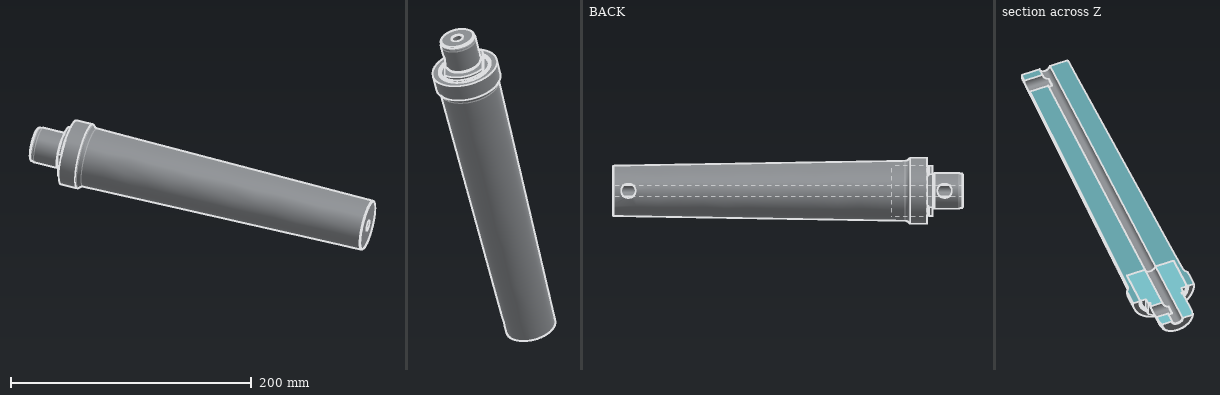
import cadquery as cq
import math

total_length = 291.0
stub_length = 25.5
stub_relief_width = 1.6
neck_length = 4.5
neck_relief_width = 1.7
flange_start = stub_length + neck_length
flange_width = 15.0
flange_chamfer = 0.8
taper_start = 48.5
plug_depth = 30.0

stub_radius = 15.0
stub_relief_radius = 14.2
neck_radius = 21.0
neck_relief_radius = 20.2
spigot_radius = 21.3
flange_radius = 27.5
taper_large_radius = 25.0
taper_small_radius = 21.0
bore_radius = 4.5

stub_tip_chamfer = 1.0
stub_lead_start = 2.0
stub_lead_end = 3.9
stub_lead_radius = 14.4
bore_chamfer = 0.5
mouth_chamfer = 0.9
end_chamfer = 0.7
flats_width = 32.0

cross_hole_radius = 6.0
stub_hole_x = 15.5
sleeve_hole_end_distance = 13.0
sleeve_hole_x = total_length - sleeve_hole_end_distance

plug_end = flange_start + plug_depth
flange_end = flange_start + flange_width


def revolve_about_x(points):
    """Turn a profile of (x, radius) points about the X axis."""
    return cq.Workplane("XZ").polyline(points).close().revolve(360, (0, 0, 0), (1, 0, 0))


def cross_hole(x):
    """Cutter for a radial hole running from the axis out through the +Y side."""
    return cq.Workplane("XZ").center(x, 0).circle(cross_hole_radius).extrude(-flange_radius)


def make_plug():
    """Stub, wrench neck and the spigot that sits in the sleeve."""
    relief_start = stub_length - stub_relief_width
    neck_relief_start = flange_start - neck_relief_width
    plug = revolve_about_x([
        (bore_chamfer, bore_radius),
        (0, bore_radius + bore_chamfer),
        (0, stub_lead_radius - stub_tip_chamfer),
        (stub_tip_chamfer, stub_lead_radius),
        (stub_lead_start, stub_lead_radius),
        (stub_lead_end, stub_radius),
        (relief_start, stub_radius),
        (relief_start + stub_radius - stub_relief_radius, stub_relief_radius),
        (stub_length, stub_relief_radius),
        (stub_length, neck_radius),
        (neck_relief_start, neck_radius),
        (neck_relief_start + neck_radius - neck_relief_radius, neck_relief_radius),
        (flange_start + mouth_chamfer, neck_relief_radius),
        (flange_start + mouth_chamfer, spigot_radius),
        (plug_end, spigot_radius),
        (plug_end, bore_radius),
    ])
    for side in (1, -1):
        flat_cutter = cq.Workplane("XY").box(
            neck_length, flange_radius, 2 * flange_radius, centered=(False, True, True)
        ).translate((stub_length, side * (flats_width + flange_radius) / 2, 0))
        plug = plug.cut(flat_cutter)
    return plug.cut(cross_hole(stub_hole_x))


def make_sleeve():
    """Flanged, tapered sleeve with a socket for the plug."""
    edge_radius = flange_radius - flange_chamfer
    fillet_run = taper_start - flange_end
    fillet_drop = edge_radius - taper_large_radius
    fillet_radius = (fillet_run**2 + fillet_drop**2) / (2 * fillet_drop)
    half_angle = math.asin(fillet_run / fillet_radius) / 2
    fillet_middle = (
        taper_start - fillet_radius * math.sin(half_angle),
        taper_large_radius + fillet_radius * (1 - math.cos(half_angle)),
    )
    profile = (
        cq.Workplane("XZ")
        .moveTo(flange_start, spigot_radius + mouth_chamfer)
        .lineTo(flange_start, flange_radius)
        .lineTo(flange_end - flange_chamfer, flange_radius)
        .lineTo(flange_end, edge_radius)
        .threePointArc(fillet_middle, (taper_start, taper_large_radius))
        .lineTo(total_length - end_chamfer, taper_small_radius)
        .lineTo(total_length, taper_small_radius - end_chamfer)
        .lineTo(total_length, bore_radius)
        .lineTo(plug_end, bore_radius)
        .lineTo(plug_end, spigot_radius)
        .lineTo(flange_start + mouth_chamfer, spigot_radius)
        .close()
    )
    sleeve = profile.revolve(360, (0, 0, 0), (1, 0, 0))
    return sleeve.cut(cross_hole(sleeve_hole_x))


plug = make_plug()
sleeve = make_sleeve()

result = cq.Compound.makeCompound([plug.val(), sleeve.val()])